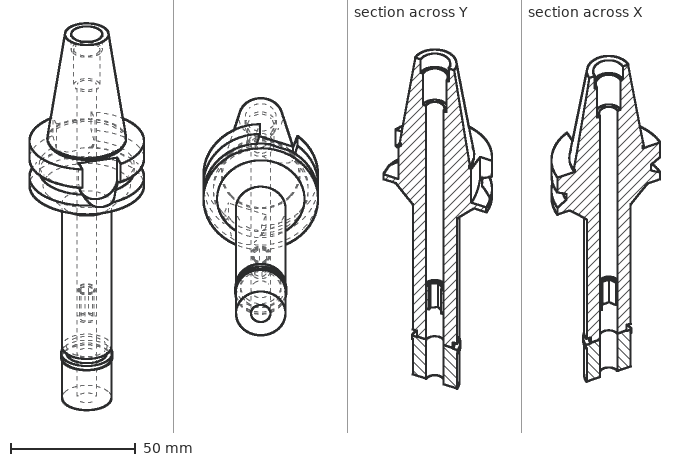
import cadquery as cq
import math

NUT_COLLAR_BOTTOM_Z = 18.7
NUT_TOP_Z = 20.7
SHANK_BOTTOM_Z = 23.7
CONE_BOTTOM_Z = 90.1
FLANGE_BOTTOM_Z = 98.3
LOWER_RIM_TOP_Z = 102.4
GROOVE_BOTTOM_Z = 105.0
GROOVE_TOP_Z = 108.1
UPPER_RIM_BOTTOM_Z = 110.6
FLANGE_TOP_Z = 119.0
TAPER_BOTTOM_Z = 120.0
TOTAL_HEIGHT = 168.4

FLANGE_RADIUS = 46.0 / 2
GROOVE_RADIUS = 19.0
CONE_TOP_RADIUS = 17.5
SHANK_RADIUS = 10.0
NECK_RADIUS = 8.0
COLLAR_RADIUS = 10.3
NUT_RADIUS = 10.0
RELIEF_RADIUS = 15.3
TAPER_BOTTOM_RADIUS = 15.8
TAPER_TOP_RADIUS = 8.8

SLOT_WIDTH = 16.0
SLOT_FLOOR_X = 16.3
SLOT_BOTTOM_Z = 101.2

MOUTH_RADIUS = 6.2
MOUTH_DEPTH = 7.0
THREAD_RADIUS = 5.2
THREAD_DEPTH = 23.5
PASSAGE_RADIUS = 3.9

SCREW_TOP_Z = 50.5
SCREW_LENGTH = 13.5
HEX_ACROSS_FLATS = 5.4
SCREW_RECESS_RADIUS = 3.4
SCREW_RECESS_DEPTH = 0.8


def cylinder(radius, bottom_z, top_z):
    return cq.Workplane("XY").workplane(offset=bottom_z).circle(radius).extrude(top_z - bottom_z)


def drive_slot(side):
    """Round-bottomed slot cutter, open upward and outward; side is -1 or +1 along X."""
    half_width = SLOT_WIDTH / 2
    arc_center_z = SLOT_BOTTOM_Z + half_width
    return (
        cq.Workplane("YZ")
        .workplane(offset=side * SLOT_FLOOR_X)
        .moveTo(-half_width, FLANGE_TOP_Z)
        .lineTo(-half_width, arc_center_z)
        .threePointArc((0, SLOT_BOTTOM_Z), (half_width, arc_center_z))
        .lineTo(half_width, FLANGE_TOP_Z)
        .close()
        .extrude(side * (FLANGE_RADIUS - SLOT_FLOOR_X + 1.7))
    )


def make_holder():
    """Taper, grooved flange, shank and neck, with a stepped bore right through."""
    profile = [
        (0, NUT_TOP_Z),
        (NECK_RADIUS, NUT_TOP_Z),
        (NECK_RADIUS, SHANK_BOTTOM_Z),
        (SHANK_RADIUS, SHANK_BOTTOM_Z),
        (SHANK_RADIUS, CONE_BOTTOM_Z),
        (CONE_TOP_RADIUS, FLANGE_BOTTOM_Z),
        (FLANGE_RADIUS, FLANGE_BOTTOM_Z),
        (FLANGE_RADIUS, LOWER_RIM_TOP_Z),
        (GROOVE_RADIUS, GROOVE_BOTTOM_Z),
        (GROOVE_RADIUS, GROOVE_TOP_Z),
        (FLANGE_RADIUS, UPPER_RIM_BOTTOM_Z),
        (FLANGE_RADIUS, FLANGE_TOP_Z),
        (RELIEF_RADIUS, FLANGE_TOP_Z),
        (RELIEF_RADIUS, TAPER_BOTTOM_Z),
        (TAPER_BOTTOM_RADIUS, TAPER_BOTTOM_Z),
        (TAPER_TOP_RADIUS, TOTAL_HEIGHT),
        (0, TOTAL_HEIGHT),
    ]
    holder = cq.Workplane("XZ").polyline(profile).close().revolve(360, (0, 0, 0), (0, 1, 0))
    for side in (-1, 1):
        holder = holder.cut(drive_slot(side))
    holder = holder.cut(cylinder(PASSAGE_RADIUS, NUT_TOP_Z, TOTAL_HEIGHT))
    holder = holder.cut(cylinder(THREAD_RADIUS, TOTAL_HEIGHT - THREAD_DEPTH, TOTAL_HEIGHT))
    return holder.cut(cylinder(MOUTH_RADIUS, TOTAL_HEIGHT - MOUTH_DEPTH, TOTAL_HEIGHT))


def make_nut():
    """Clamping nut with a thin collar at its top and the bore continuing through it."""
    nut = cylinder(NUT_RADIUS, 0, NUT_TOP_Z)
    nut = nut.union(cylinder(COLLAR_RADIUS, NUT_COLLAR_BOTTOM_Z, NUT_TOP_Z))
    return nut.cut(cylinder(PASSAGE_RADIUS, 0, NUT_TOP_Z))


def make_set_screw():
    """Hollow screw with a round recess above a hexagon socket that has corners toward -Y and +Y."""
    hex_across_corners = HEX_ACROSS_FLATS / math.cos(math.pi / 6)
    bottom_z = SCREW_TOP_Z - SCREW_LENGTH
    socket = (
        cq.Workplane("XY")
        .workplane(offset=bottom_z)
        .transformed(rotate=(0, 0, 90))
        .polygon(6, hex_across_corners)
        .extrude(SCREW_LENGTH)
    )
    recess = cylinder(SCREW_RECESS_RADIUS, SCREW_TOP_Z - SCREW_RECESS_DEPTH, SCREW_TOP_Z)
    return cylinder(PASSAGE_RADIUS, bottom_z, SCREW_TOP_Z).cut(socket).cut(recess)


holder = make_holder()
nut = make_nut()
set_screw = make_set_screw()

result = cq.Compound.makeCompound([holder.val(), nut.val(), set_screw.val()])